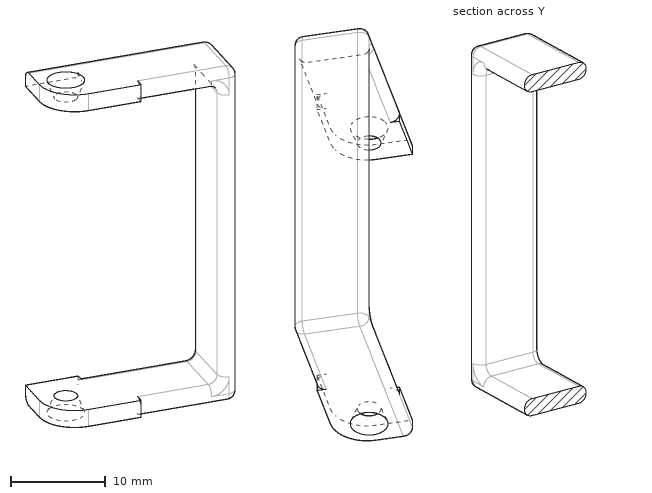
import cadquery as cq

width = 8.0
depth = 21.0
height = 39.0
wall = 2.0
edge_radius = wall / 2

inner_lug_length = 6.0
outer_lug_length = 10.0
corner_radius = width / 2

hole_setback = 3.0
hole_small_diameter = 2.5
hole_large_diameter = 3.98

middle = width / 2
half_wall = wall / 2


def corner_box(length_x, length_y, length_z, position):
    """Box whose lowest corner sits at position."""
    return cq.Workplane("XY").box(length_x, length_y, length_z, centered=False).translate(position)


def rounded_envelope():
    """Outer block with rounds along its back edges and arm sides."""
    block = corner_box(width, depth, height, (0, 0, 0))
    return block.edges(">Y or (|Y and (<X or >X))").fillet(edge_radius)


def rounded_frame():
    """Oversized frame around the opening, with the opening's edges rounded."""
    frame = corner_box(width, depth + wall, height + 2 * wall, (0, 0, -wall))
    opening = corner_box(width, depth - wall, height - 2 * wall, (0, 0, wall))
    opening = opening.edges("|X and >Y").fillet(edge_radius)
    frame = frame.cut(opening)
    opening_zone = cq.selectors.BoxSelector(
        (-0.4, half_wall, half_wall),
        (width + 0.4, depth - half_wall, height - half_wall),
    )
    return frame.edges(opening_zone).edges("not |X").fillet(edge_radius)


def rounded_channel():
    """C-shaped strip with fully round sides: the envelope limited to the frame."""
    return rounded_envelope().intersect(rounded_frame())


def lower_lug():
    """Square edges at the free end: inner half on -X, full thickness on +X."""
    inner_part = corner_box(middle, inner_lug_length, half_wall, (0, 0, half_wall))
    outer_part = corner_box(middle, outer_lug_length, wall, (middle, 0, 0))
    return inner_part.union(outer_part)


def lower_corner_waste():
    """Material outside the large round on the +X free corner."""
    square = corner_box(corner_radius, corner_radius, wall, (width - corner_radius, 0, 0))
    disc = cq.Workplane("XY").center(width - corner_radius, corner_radius).circle(corner_radius).extrude(wall)
    return square.cut(disc)


def lower_hole():
    """Cone tapering from the outer face to the inner face."""
    return (
        cq.Workplane("XY")
        .center(middle, hole_setback)
        .circle(hole_large_diameter / 2)
        .workplane(offset=wall)
        .circle(hole_small_diameter / 2)
        .loft(ruled=True)
    )


def on_both_arms(lower_feature):
    """The lower-arm feature together with its mirror image on the upper arm."""
    upper_feature = lower_feature.mirror("XY", (0, 0, height / 2))
    return lower_feature.add(upper_feature).combine()


result = (
    rounded_channel()
    .union(on_both_arms(lower_lug()))
    .cut(on_both_arms(lower_corner_waste()))
    .cut(on_both_arms(lower_hole()))
)